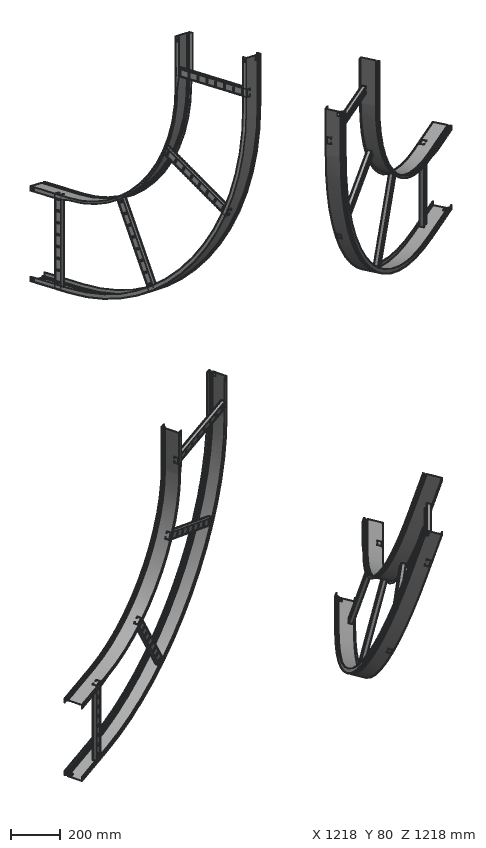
import cadquery as cq
import math


overall_size = 1218.0
rail_height = 80.0
rail_spacing = 400.0
outer_radius = 1000.0
inner_radius = outer_radius - rail_spacing
straight_length = overall_size - outer_radius
bend_x = straight_length
bend_z = outer_radius
half_height = rail_height / 2

rail_sheet = 1.5
flange_width = 20.0
bead_center = 11.0
bead_mouth = 11.0
bead_floor = 4.0
bead_depth = 5.0

narrow_flange = 11.0
taper_length = 54.0

hole_inset = 15.0
flange_hole_length = 10.0
flange_hole_width = 9.0
web_hole_length = 15.0
web_hole_width = 10.0
web_hole_drop = 24.0

rung_width = 33.0
rung_depth = 20.0
rung_sheet = 2.0
rung_lip = 9.0
rung_rise = 5.0
rung_length = rail_spacing - 2 * rail_sheet

end_rung_inset = 150.0
middle_rung_angle = 27.5

slot_count = 8
slot_pitch = 50.0
slot_length = 15.0
slot_width = 6.0
slot_shift = 4.0


def rail_outline(side):
    """Points (y, z) of the C section; the web's outer face is at z = 0, the flanges reach to side * z."""
    bead_y = half_height - bead_center
    inner_y = half_height - rail_sheet
    bead = [
        (bead_y - bead_mouth / 2, 0),
        (bead_y - bead_floor / 2, bead_depth),
        (bead_y + bead_floor / 2, bead_depth),
        (bead_y + bead_mouth / 2, 0),
    ]
    bead_inside = [(y, depth + rail_sheet) for y, depth in reversed(bead)]
    far_flange = [
        (half_height, 0),
        (half_height, flange_width),
        (inner_y, flange_width),
        (inner_y, rail_sheet),
    ]
    near_flange = [(-y, depth) for y, depth in reversed(far_flange)]
    outline = bead + far_flange + bead_inside + near_flange
    return [(y, side * depth) for y, depth in outline]


def make_rail(radius, side):
    """Rail whose web has its outer face at the given bend radius, with a hole in each end of its -Y flange."""
    web_x = bend_x + radius
    web_z = bend_z - radius
    diagonal = radius * math.sqrt(0.5)
    path = (
        cq.Workplane("XZ")
        .moveTo(0, web_z)
        .lineTo(bend_x, web_z)
        .threePointArc((bend_x + diagonal, bend_z - diagonal), (web_x, bend_z))
        .lineTo(web_x, overall_size)
    )
    section = cq.Workplane("YZ", origin=(0, 0, web_z)).polyline(rail_outline(side)).close()
    rail = section.sweep(path).clean()

    hole_y = -half_height + rail_sheet / 2
    to_middle = side * flange_width / 2
    lower_hole = cq.Workplane().box(flange_hole_length, 2 * rail_sheet, flange_hole_width)
    lower_hole = lower_hole.translate((hole_inset, hole_y, web_z + to_middle))
    upper_hole = cq.Workplane().box(flange_hole_width, 2 * rail_sheet, flange_hole_length)
    upper_hole = upper_hole.translate((web_x - to_middle, hole_y, overall_size - hole_inset))
    return rail.cut(lower_hole).cut(upper_hole)


def make_outer_rail():
    """Outer rail: flanges towards the bend centre and a hole through each end of the web."""
    rail = make_rail(outer_radius, 1)
    hole_y = half_height - web_hole_drop
    lower_hole = cq.Workplane().box(web_hole_length, web_hole_width, 4 * rail_sheet)
    lower_hole = lower_hole.translate((hole_inset, hole_y, 0))
    upper_hole = cq.Workplane().box(4 * rail_sheet, web_hole_width, web_hole_length)
    upper_hole = upper_hole.translate((overall_size, hole_y, overall_size - hole_inset))
    return rail.cut(lower_hole).cut(upper_hole)


def make_inner_rail():
    """Inner rail: flanges away from the bend centre, trimmed narrower around the bend."""
    edge_radius = inner_radius + flange_width
    trim_radius = inner_radius + narrow_flange
    diagonal = trim_radius * math.sqrt(0.5)
    edge_x = bend_x + edge_radius
    edge_z = bend_z - edge_radius
    trim = (
        cq.Workplane("XZ")
        .moveTo(bend_x - taper_length, edge_z)
        .lineTo(bend_x, bend_z - trim_radius)
        .threePointArc((bend_x + diagonal, bend_z - diagonal), (bend_x + trim_radius, bend_z))
        .lineTo(edge_x, bend_z + taper_length)
        .lineTo(edge_x, edge_z)
        .close()
        .extrude(rail_height, both=True)
    )
    return make_rail(inner_radius, -1).cut(trim)


def make_rung(x):
    """Rung standing along Z from the outer rail's web to the inner rail's web, centred on the given X."""
    half_width = rung_width / 2
    inner_half = half_width - rung_sheet
    mouth_half = half_width - rung_lip
    right_half = [
        (half_width, 0),
        (half_width, rung_depth),
        (mouth_half, rung_depth),
        (mouth_half, rung_depth - rung_sheet),
        (inner_half, rung_depth - rung_sheet),
        (inner_half, rung_sheet),
    ]
    left_half = [(-across, y) for across, y in reversed(right_half)]
    base_y = -half_height + rung_rise
    rung = (
        cq.Workplane("XY", origin=(x, base_y, rail_sheet))
        .polyline(right_half + left_half)
        .close()
        .extrude(rung_length)
    )
    slots = (
        cq.Workplane("XZ", origin=(x, base_y, rail_sheet + rung_length / 2 + slot_shift))
        .rarray(12, slot_pitch, 1, slot_count)
        .rect(slot_length, slot_width)
        .extrude(2 * rung_sheet, both=True)
    )
    return rung.cut(slots)


def turn_about_bend(body, angle):
    """Turn a body about the bend centre, from the X straight towards the Z straight."""
    return body.rotate((bend_x, 0, bend_z), (bend_x, 1, bend_z), -angle)


outer_rail = make_outer_rail()
inner_rail = make_inner_rail()

rungs = []
for rung_x, angle in [
    (end_rung_inset, 0),
    (bend_x, middle_rung_angle),
    (bend_x, 90 - middle_rung_angle),
    (2 * bend_x - end_rung_inset, 90),
]:
    rungs.append(turn_about_bend(make_rung(rung_x), angle))

result = cq.Compound.makeCompound(
    [outer_rail.val(), inner_rail.val(), *[rung.val() for rung in rungs]]
)